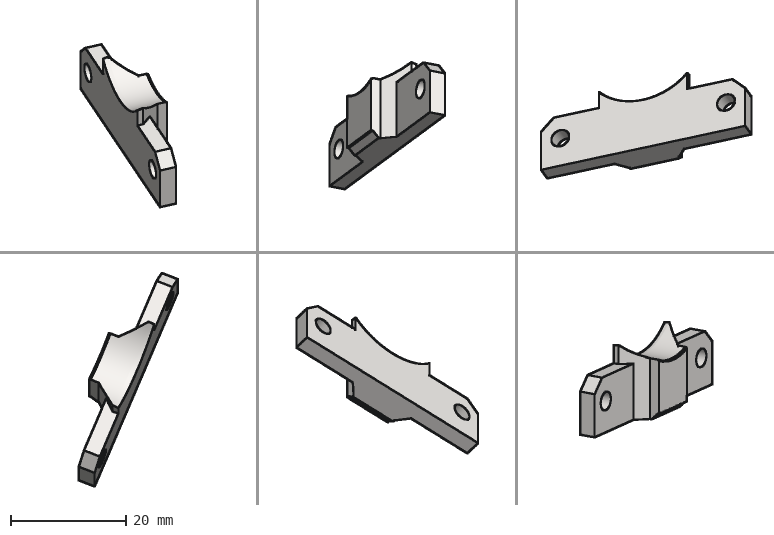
import cadquery as cq

plate_length = 38.2
plate_thickness = 3.0
plate_height = 10.25
corner_chamfer = 2.4
hole_diameter = 3.3
hole_spacing = 31.0
hole_height = 5.7

block_depth = 7.0
front_width = 16.5
back_width = 9.1
taper_start = 1.05
taper_end = 5.2

total_height = 13.72
cradle_bottom = 10.1
front_flare_depth = 1.0
front_flare = 0.13
back_flare_depth = 0.3
back_flare = 0.2

relief_size = 1.2
relief_ledge = 0.3

cradle_sag = total_height - cradle_bottom
cradle_radius = ((front_width / 2) ** 2 + cradle_sag**2) / (2 * cradle_sag)
cradle_axis_height = cradle_bottom + cradle_radius


def make_plate():
    """Flat plate with its two upper corners cut off and a mounting hole near each end."""
    plate = (
        cq.Workplane("XY")
        .box(plate_length, plate_thickness, plate_height, centered=(True, False, False))
        .edges("|Y and >Z")
        .chamfer(corner_chamfer)
    )
    holes = (
        cq.Workplane("XZ")
        .pushPoints([(-hole_spacing / 2, hole_height), (hole_spacing / 2, hole_height)])
        .circle(hole_diameter / 2)
        .extrude(-plate_thickness)
    )
    return plate.cut(holes)


def make_block():
    """Upright block whose sides taper inward towards the back."""
    return (
        cq.Workplane("XY")
        .moveTo(0, 0)
        .lineTo(front_width / 2, 0)
        .lineTo(front_width / 2, taper_start)
        .lineTo(back_width / 2, taper_end)
        .lineTo(back_width / 2, block_depth)
        .lineTo(0, block_depth)
        .close()
        .extrude(total_height)
        .mirror("YZ", union=True)
    )


def make_cradle_cutter():
    """Round cutter along Y, flaring outward at the front and back rims of the block."""
    return (
        cq.Workplane("XY")
        .moveTo(0, 0)
        .lineTo(cradle_radius + front_flare, 0)
        .lineTo(cradle_radius, front_flare_depth)
        .lineTo(cradle_radius, block_depth - back_flare_depth)
        .lineTo(cradle_radius + back_flare, block_depth)
        .lineTo(0, block_depth)
        .close()
        .revolve(360, (0, 0, 0), (0, 1, 0))
        .translate((0, 0, cradle_axis_height))
    )


def make_relief_cutter():
    """Wedge under the back of the block: a 45 degree slope ending in a narrow flat ledge."""
    slope_end = block_depth - relief_ledge
    return (
        cq.Workplane("YZ")
        .moveTo(slope_end - relief_size, 0)
        .lineTo(slope_end, relief_size)
        .lineTo(block_depth, relief_size)
        .lineTo(block_depth, 0)
        .close()
        .extrude(back_width / 2, both=True)
    )


result = make_plate().union(make_block()).cut(make_cradle_cutter()).cut(make_relief_cutter())